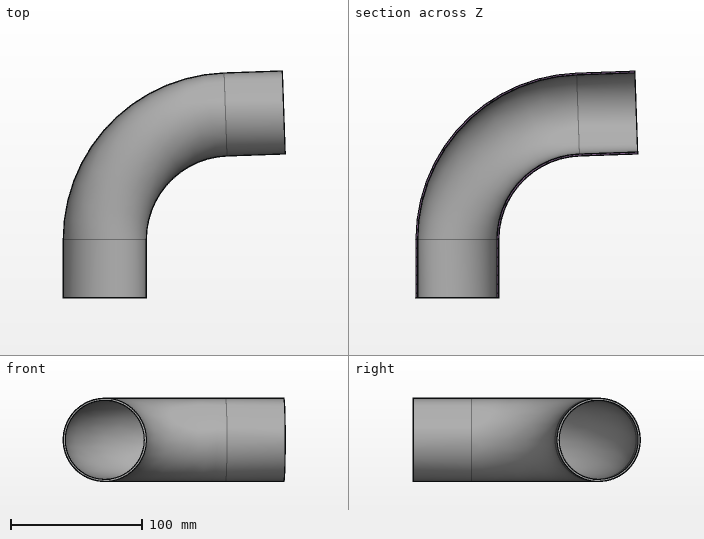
import cadquery as cq
import math

outer_diameter = 63.5
inner_diameter = 60.2
straight_length = 44.5
bend_angle = 88.0
bend_radius = 95.3


def bend_point(angle):
    """Point on the bend centreline after turning through the given degrees."""
    turned = math.radians(angle)
    return (
        bend_radius * (1 - math.cos(turned)),
        straight_length + bend_radius * math.sin(turned),
    )


bend_start = bend_point(0)
bend_middle = bend_point(bend_angle / 2)
bend_end = bend_point(bend_angle)
end_direction = math.radians(bend_angle)
tube_end = (
    bend_end[0] + straight_length * math.sin(end_direction),
    bend_end[1] + straight_length * math.cos(end_direction),
)
centreline = (
    cq.Workplane("XY")
    .lineTo(*bend_start)
    .threePointArc(bend_middle, bend_end)
    .lineTo(*tube_end)
)

result = (
    cq.Workplane("XZ")
    .circle(outer_diameter / 2)
    .circle(inner_diameter / 2)
    .sweep(centreline)
)